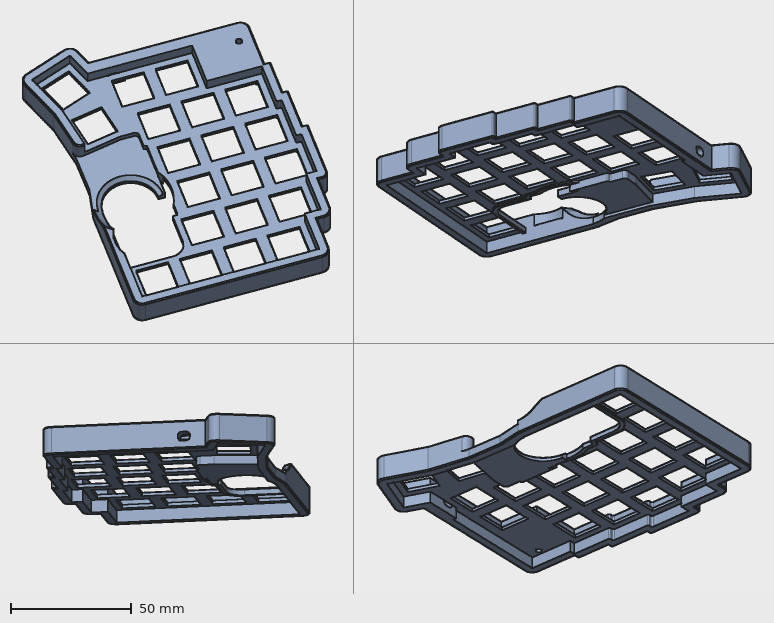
import cadquery as cq
import math

length = 134.4

height = 12.0
plate_top = 6.7
plate_thickness = 1.5
plate_bottom = plate_top - plate_thickness
tray_top = 4.5
tray_bottom = 1.5
edge_chamfer = 0.5

key_hole = 14.0
key_pitch = 19.1
cell_margin = 3.0
cell_half = key_hole / 2 + cell_margin
wall = 4.0
reach = cell_half + wall
corner_radius = 4.0
middle_corner_radius = 2.7
step_radius = 0.7

first_column_x = 24.9
columns = [(42.9, 2), (47.8, 3), (50.1, 3), (52.4, 3), (47.8, 3), (21.8, 4)]

outer_thumb_y = 16.4
outer_thumb_angle = 20
inner_thumb_angle = 10

left_face_x = 9.4
block_back_y = 97.4
block_step_x = 32.9
reset_hole_diameter = 2.5
reset_hole = (19.0, 91.0)

cable_y = 37.6
cable_z = 5.2
cable_width = 5.2
cable_height = 3.9
cable_corner = 1.9

ball = (78.0, 24.2)
bowl_radius = 21.9
bowl_centre_z = 21.2
flare_start_z = 10.0
flare_top_radius = 20.7
socket_hole_radius = 12.1
plate_clearance_radius = 17.9
notch_radius = 14.2
notch_offset = 22.0

tray_front_y = 10.1
tray_bend_x = 66.4
tray_left_x = 46.1
tray_back_y = 39.2
tray_left_back_y = 37.9
tray_step_x = 53.9
tray_step_radius = 0.5
tray_corner_radius = 1.7
thumb_end_radius = 3.4
rib = 1.5
opening_step_x = 91.5
opening_step_y = 40.2
opening_back_y = 37.9
opening_corner_radius = 6.3


def column_x(index):
    return first_column_x + index * key_pitch


def column_top(index):
    """Height of the topmost key centre of a column."""
    lowest, count = columns[index]
    return lowest + (count - 1) * key_pitch


def turned(centre, angle, x, y):
    """Point x, y of a frame turned by angle about centre."""
    c = math.cos(math.radians(angle))
    s = math.sin(math.radians(angle))
    return (centre[0] + x * c - y * s, centre[1] + x * s + y * c)


def prism(points, bottom, top):
    outline = cq.Workplane("XY").workplane(offset=bottom).polyline(points).close()
    return outline.extrude(top - bottom)


def round_corner(body, x, y, z, radius):
    """Fillet the upright edge of the body nearest to a point."""
    nearest = cq.selectors.NearestToPointSelector((x, y, z))
    return body.edges("|Z").edges(nearest).fillet(radius)


def rounded_prism(corners, bottom, top):
    """Prism over (point, radius) corners; radius 0 keeps a corner sharp."""
    body = prism([point for point, _ in corners], bottom, top)
    middle = (bottom + top) / 2
    for (x, y), radius in corners:
        if radius > 0:
            body = round_corner(body, x, y, middle, radius)
    return body


def box(x0, x1, y0, y1, bottom, top):
    return prism([(x0, y0), (x1, y0), (x1, y1), (x0, y1)], bottom, top)


def cylinder(centre, radius, bottom, top):
    return cq.Workplane("XY").workplane(offset=bottom).center(*centre).circle(radius).extrude(top - bottom)


def thumb_square(centre, angle, half, bottom, top):
    corners = [(-half, -half), (half, -half), (half, half), (-half, half)]
    return prism([turned(centre, angle, x, y) for x, y in corners], bottom, top)


right_face_x = column_x(5) + reach
front_face_y = columns[5][0] - reach

tilt = math.radians(outer_thumb_angle)
leftmost = (reach - corner_radius) * (math.cos(tilt) + math.sin(tilt)) + corner_radius
outer_thumb = (right_face_x - length + leftmost, outer_thumb_y)
shared_corner = turned(outer_thumb, outer_thumb_angle, cell_half, -cell_half)
inner_thumb = turned(shared_corner, inner_thumb_angle, cell_half, cell_half)
thumbs = [(outer_thumb, outer_thumb_angle), (inner_thumb, inner_thumb_angle)]

opening_right_x = column_x(4) + cell_half
opening_front_y = front_face_y + wall
thumb_end = turned(inner_thumb, inner_thumb_angle, cell_half, -reach)


def outer_block():
    """Full-height block with the outer outline."""
    thumb_left = turned(outer_thumb, outer_thumb_angle, -reach, reach)
    thumb_front = turned(outer_thumb, outer_thumb_angle, -reach, -reach)
    slope = math.tan(math.radians(outer_thumb_angle))
    left_wall_end = (left_face_x, thumb_left[1] + (left_face_x - thumb_left[0]) * slope)
    half_bend = (outer_thumb_angle - inner_thumb_angle) / 2
    bend = turned(shared_corner, inner_thumb_angle + half_bend, 0, -wall / math.cos(math.radians(half_bend)))

    corners = [
        (left_wall_end, 0),
        (thumb_left, corner_radius),
        (thumb_front, corner_radius),
        (bend, 0),
        (thumb_end, 0),
        ((tray_bend_x, tray_front_y), 0),
        ((ball[0], front_face_y), 0),
        ((right_face_x, front_face_y), corner_radius),
    ]
    back = [column_top(i) + reach for i in range(len(columns))]
    corners.append(((column_x(5) + reach, back[5]), corner_radius))
    for i, radius in [(4, corner_radius), (3, middle_corner_radius)]:
        corners.append(((column_x(i) + reach, back[i + 1]), 0))
        corners.append(((column_x(i) + reach, back[i]), radius))
    left_steps = [
        (3, column_x(3) - reach, back[2]),
        (2, column_x(2) - reach, back[1]),
        (1, block_step_x, block_back_y),
    ]
    for i, x, lower_y in left_steps:
        corners.append(((x, back[i]), step_radius))
        corners.append(((x, lower_y), 0))
    corners.append(((left_face_x, block_back_y), corner_radius))
    return rounded_prism(corners, 0, height)


def key_field(bottom, top):
    """All key cells joined together, over the given height."""
    field = None
    for i, (lowest, _) in enumerate(columns):
        x = column_x(i)
        front = {0: outer_thumb[1], 5: lowest - cell_half}.get(i, ball[1])
        cell = box(x - cell_half, x + cell_half, front, column_top(i) + cell_half, bottom, top)
        field = cell if field is None else field.union(cell)
    for centre, angle in thumbs:
        field = field.union(thumb_square(centre, angle, cell_half, bottom, top))
    wedge = [
        turned(outer_thumb, outer_thumb_angle, cell_half, cell_half),
        shared_corner,
        turned(inner_thumb, inner_thumb_angle, -cell_half, cell_half),
    ]
    field = field.union(prism(wedge, bottom, top))

    for i in (2, 3):
        for step_y in (column_top(i - 1) + cell_half, column_top(i) + cell_half):
            field = round_corner(field, column_x(i) - cell_half, step_y, (bottom + top) / 2, step_radius)
    return field


def key_holes():
    holes = None
    for i, (lowest, count) in enumerate(columns):
        for row in range(count):
            x = column_x(i)
            y = lowest + row * key_pitch
            half = key_hole / 2
            hole = box(x - half, x + half, y - half, y + half, 0, height)
            holes = hole if holes is None else holes.union(hole)
    for centre, angle in thumbs:
        holes = holes.union(thumb_square(centre, angle, key_hole / 2, 0, height))
    return holes


def tray(bottom, top):
    """Tray area between the thumb keys, the key plate and the socket."""
    slope = math.tan(math.radians(inner_thumb_angle))
    kink = (tray_left_x, thumb_end[1] + (thumb_end[0] - tray_left_x) / slope)
    beyond = turned(thumb_end, inner_thumb_angle, 0, -wall)
    corners = [
        (beyond, 0),
        ((ball[0], beyond[1]), 0),
        ((ball[0], tray_back_y), 0),
        ((tray_step_x, tray_back_y), tray_step_radius),
        ((tray_step_x, tray_left_back_y), tray_step_radius),
        ((tray_left_x, tray_left_back_y), tray_corner_radius),
        (kink, 0),
    ]
    return rounded_prism(corners, bottom, top)


def socket_opening(bottom, top):
    """Opening through the plate on the right of the socket and around the ball behind it."""
    corners = [
        ((ball[0], opening_front_y), 0),
        ((opening_right_x, opening_front_y), 0),
        ((opening_right_x, opening_back_y), opening_corner_radius),
        ((opening_step_x, opening_back_y), step_radius),
        ((opening_step_x, opening_step_y), step_radius),
        ((ball[0], opening_step_y), 0),
    ]
    clearance = cylinder(ball, plate_clearance_radius, bottom, top)
    behind_tray = box(0, right_face_x, tray_back_y, ball[1] + plate_clearance_radius, bottom, top)
    return rounded_prism(corners, bottom, top).union(clearance.intersect(behind_tray))


def cavity():
    """Hollow underneath: below the keys, the controller and, shallower, the tray."""
    controller = box(left_face_x + wall, column_x(1), columns[0][0], block_back_y - wall, 0, plate_bottom)
    tray_solid = tray(tray_bottom, plate_bottom)
    rib_under_plate = tray_solid.translate((-rib, rib, 0))
    hollow = key_field(0, plate_bottom).union(controller).cut(tray_solid).cut(rib_under_plate)

    opening = socket_opening(tray_top, plate_bottom)
    for shift in [(-rib, rib, 0), (0, rib, 0), (rib, rib, 0), (rib, 0, 0)]:
        hollow = hollow.cut(opening.translate(shift))

    under_tray = [
        turned(inner_thumb, inner_thumb_angle, cell_half, -cell_half),
        (ball[0], tray_front_y + wall),
        ball,
        turned(inner_thumb, inner_thumb_angle, cell_half, cell_half),
    ]
    return hollow.union(prism(under_tray, 0, tray_bottom))


def bowl():
    """Ball socket: a sphere with a conical flare at its top, kept clear of the key plate."""
    sphere = cq.Workplane("XY").sphere(bowl_radius).translate((ball[0], ball[1], bowl_centre_z))
    sphere = sphere.intersect(cylinder(ball, bowl_radius, 0, flare_start_z))
    flare_start_radius = math.sqrt(bowl_radius ** 2 - (bowl_centre_z - flare_start_z) ** 2)
    flare = (
        cq.Workplane("XY").workplane(offset=flare_start_z).center(*ball).circle(flare_start_radius)
        .workplane(offset=height - flare_start_z).circle(flare_top_radius).loft()
    )
    front_part = box(0, right_face_x, front_face_y - wall, tray_back_y, 0, height)
    return sphere.union(flare).intersect(front_part)


def cable_slot():
    """Rounded slot through the left wall, ending at the recess beside the first column."""
    depth = column_x(0) - cell_half - left_face_x
    slot = cq.Workplane("XY").box(depth, cable_width, cable_height).edges("|X").fillet(cable_corner)
    return slot.translate((left_face_x + depth / 2, cable_y, cable_z))


touch = 0.1
scoop_edges = cq.selectors.BoxSelector(
    (ball[0] + touch, front_face_y - touch, tray_top),
    (ball[0] + flare_top_radius, front_face_y + touch, height - touch),
)

result = outer_block().cut(tray(tray_top, height))
result = round_corner(result, *thumb_end, (tray_top + height) / 2, thumb_end_radius)
result = result.faces("<Z or >Z").chamfer(edge_chamfer)
result = result.cut(bowl())
result = result.edges(scoop_edges).chamfer(edge_chamfer)

result = result.cut(key_field(plate_top, height)).cut(cavity()).cut(key_holes())
result = result.cut(socket_opening(0, height)).cut(cylinder(ball, socket_hole_radius, 0, height))
result = result.cut(cylinder((ball[0] + notch_offset, ball[1]), notch_radius, plate_top, height))
result = result.cut(cylinder(reset_hole, reset_hole_diameter / 2, 0, height))
result = result.cut(cable_slot())